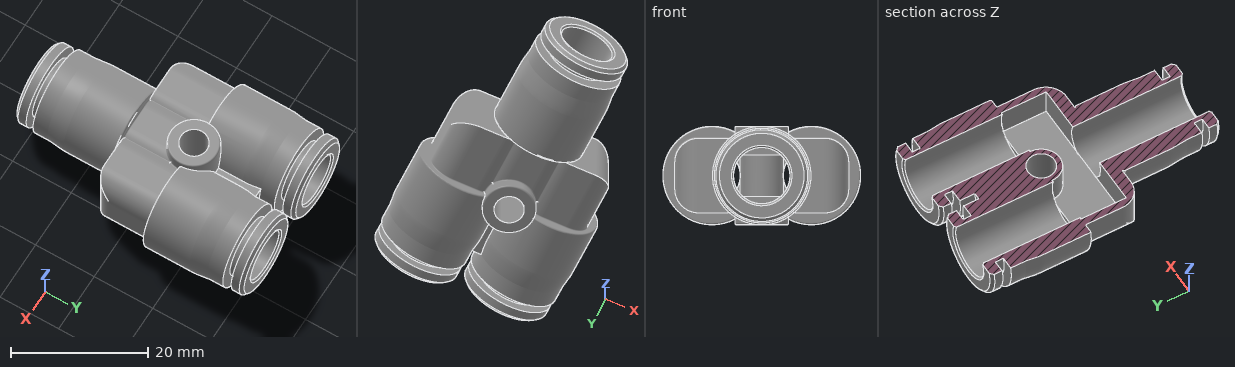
import cadquery as cq
import math


overall_length = 43.2
port_spacing = 14.5

sleeve_radius = 14.4 / 2
nose_radius = 6.9
flange_radius = 6.7
flange_chamfer = 0.5
neck_radius = 4.9
flange_end = 1.9
neck_end = 3.2
nose_end = 5.75
taper_end = 8.7
sleeve_end = 16.7
sleeve_edge_fillet = 0.25

bore_radius = 4.1
bore_chamfer = 0.3

bar_width = 10.9
bar_corner_radius = 3.5
bar_flat = bar_width - 2 * bar_corner_radius
root_fillet = 0.17

web_height = 4.65
web_width = 1.73

boss_radius = 3.95
boss_height = 2 * sleeve_radius
boss_edge_fillet = 0.25
hole_radius = 2.2

manifold_height = 6.05
manifold_wall = 2.15

mouth_y = overall_length / 2
shoulder_y = mouth_y - sleeve_end
port_x = port_spacing / 2
manifold_front_y = manifold_wall - shoulder_y
divider_radius = port_x - bore_radius


def port_body():
    """Solid sleeve, neck and flange on the Z axis, mouth at z = 0, running into +Z."""
    taper_length = taper_end - nose_end
    profile = (
        cq.Workplane("XZ")
        .lineTo(flange_radius - flange_chamfer, 0)
        .lineTo(flange_radius, flange_chamfer)
        .lineTo(flange_radius, flange_end)
        .lineTo(neck_radius, flange_end)
        .lineTo(neck_radius, neck_end)
        .lineTo(nose_radius, neck_end)
        .lineTo(nose_radius, nose_end)
        .threePointArc(
            (sleeve_radius - (sleeve_radius - nose_radius) / 4, nose_end + taper_length / 2),
            (sleeve_radius, taper_end),
        )
        .lineTo(sleeve_radius, sleeve_end)
        .lineTo(0, sleeve_end)
        .close()
    )
    return profile.revolve(360, (0, 0), (0, 1)).faces(">Z").edges().fillet(sleeve_edge_fillet)


def port_bore(depth):
    """Bore with a chamfered mouth, placed like port_body."""
    return (
        cq.Workplane("XZ")
        .lineTo(bore_radius + bore_chamfer, 0)
        .lineTo(bore_radius, bore_chamfer)
        .lineTo(bore_radius, depth)
        .lineTo(0, depth)
        .close()
        .revolve(360, (0, 0), (0, 1))
    )


def face_front(port):
    """Turn a port so that its mouth faces -Y at the single-port end."""
    return port.rotate((0, 0, 0), (1, 0, 0), -90).translate((0, -mouth_y, 0))


def face_rear(port, x):
    """Turn a port so that its mouth faces +Y at the twin-port end."""
    return port.rotate((0, 0, 0), (1, 0, 0), 90).translate((x, mouth_y, 0))


def bar(x, rear_y):
    """Rounded square bar along Y, from the front face of the block to rear_y."""
    length = rear_y + shoulder_y
    return (
        cq.Workplane("XY")
        .box(bar_width, length, bar_width)
        .edges("|Y")
        .fillet(bar_corner_radius)
        .translate((x, rear_y - length / 2, 0))
    )


def block_plan():
    """Plan outline of the block, with rounded front corners, as tall as the boss."""
    return (
        cq.Workplane("XY")
        .box(port_spacing + bar_width, 2 * shoulder_y, boss_height)
        .edges("|Z and <Y")
        .fillet(bar_corner_radius)
    )


def box_around(center, size):
    """Selector for edges that lie wholly inside a box."""
    low = tuple(c - d / 2 for c, d in zip(center, size))
    high = tuple(c + d / 2 for c, d in zip(center, size))
    return cq.selectors.BoxSelector(low, high, boundingbox=True)


def join_bar(port, rod, x, y):
    """Unite a port with its bar and fillet the corner around the bar at the sleeve's end face."""
    width = bar_width + root_fillet
    outline = box_around((x, y, 0), (width, root_fillet, width))
    return port.union(rod).edges(outline).fillet(root_fillet)


def web():
    """Flat strip filling the gap between the twin sleeves."""
    length = sleeve_end - nose_end
    return cq.Workplane("XY").box(web_width, length, web_height).translate((0, shoulder_y + length / 2, 0))


def upright_cylinder(radius, height):
    """Cylinder on the axis of the boss, centred on the mid-plane."""
    return cq.Workplane("XY").cylinder(height, radius).translate((0, shoulder_y, 0))


def boss():
    """Boss with rounded rims, as tall as the sleeves."""
    return upright_cylinder(boss_radius, boss_height).faces("<Z or >Z").edges().fillet(boss_edge_fillet)


def central_block():
    """Three bars side by side with filleted grooves, and the front half of the boss filleted on."""
    rear_y = shoulder_y + 2 * boss_radius
    block = bar(0, rear_y).union(bar(-port_x, rear_y)).union(bar(port_x, rear_y))
    groove_reach = (port_x + root_fillet, 2 * (rear_y + root_fillet), bar_width - root_fillet)
    grooves = box_around((0, 0, 0), groove_reach)
    block = block.edges(grooves).edges("|Y").fillet(root_fillet)

    block = block.union(boss())
    foot_width = 2 * (boss_radius + root_fillet)
    groove_depth = bar_corner_radius - math.sqrt(bar_corner_radius**2 - (port_x / 2 - bar_flat / 2) ** 2)
    foot_height = 2 * (groove_depth + root_fillet)
    for z in (-bar_width / 2, bar_width / 2):
        foot = box_around((0, shoulder_y, z), (foot_width, foot_width, foot_height))
        block = block.edges(foot).fillet(root_fillet)
    return block.intersect(block_plan())


def manifold():
    """Flat chamber across the three bores, with a rounded divider nose left standing in it."""
    length = shoulder_y - manifold_front_y
    width = port_spacing + 2 * bore_radius
    chamber = (
        cq.Workplane("XY")
        .box(width, length, manifold_height)
        .translate((0, manifold_front_y + length / 2, 0))
    )
    return chamber.cut(upright_cylinder(divider_radius, manifold_height))


outer = join_bar(face_front(port_body()), bar(0, shoulder_y), 0, -shoulder_y)
for side_x in (-port_x, port_x):
    side_bar = bar(side_x, shoulder_y).intersect(block_plan())
    outer = outer.union(join_bar(face_rear(port_body(), side_x), side_bar, side_x, shoulder_y))
outer = outer.union(central_block()).union(web()).union(boss())

front_bore_depth = manifold_front_y + mouth_y
result = outer.cut(manifold()).cut(face_front(port_bore(front_bore_depth)))
for side_x in (-port_x, port_x):
    result = result.cut(face_rear(port_bore(sleeve_end), side_x))

result = result.cut(upright_cylinder(hole_radius, boss_height))